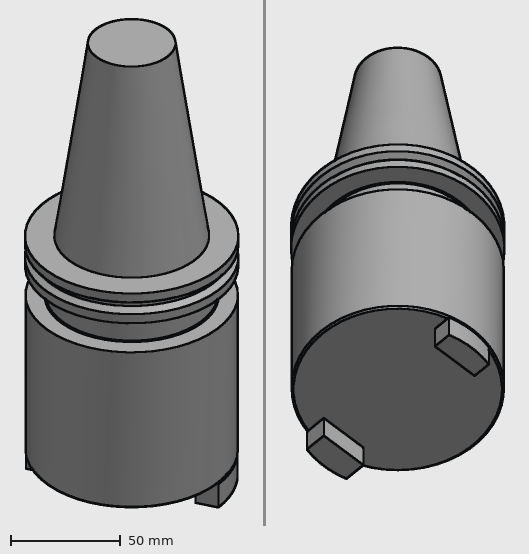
import cadquery as cq

total_height = 234.2
body_bottom = 12.6
body_top = 97.5
flange_bottom = 113.4
flange_top = 129.5

body_radius = 97.0 / 2
neck_radius = 78.7 / 2
flange_radius = 97.5 / 2
groove_radius = 91.0 / 2
taper_base_radius = 70.7 / 2
taper_tip_radius = 40.0 / 2

body_chamfer = 1.0
neck_flare = 0.5
upper_rim = 5.0
lower_rim = 5.0
groove_bottom = 120.0
groove_relief = 0.7
groove_top = 122.7

key_width = 25.0
left_key_inner = 37.5
right_key_inner = 35.5


def turned_shank():
    """Revolve the body, neck, grooved flange and taper about Z."""
    profile = [
        (0, body_bottom),
        (body_radius - body_chamfer, body_bottom),
        (body_radius, body_bottom + body_chamfer),
        (body_radius, body_top),
        (neck_radius + neck_flare, body_top),
        (neck_radius, body_top + neck_flare),
        (neck_radius, flange_bottom - neck_flare),
        (neck_radius + neck_flare, flange_bottom),
        (flange_radius, flange_bottom),
        (flange_radius, flange_bottom + lower_rim),
        (groove_radius + groove_relief, groove_bottom),
        (groove_radius, groove_bottom + groove_relief),
        (groove_radius, groove_top),
        (flange_radius, flange_top - upper_rim),
        (flange_radius, flange_top),
        (taper_base_radius, flange_top),
        (taper_tip_radius, total_height),
        (0, total_height),
    ]
    return cq.Workplane("YZ").polyline(profile).close().revolve(360, (0, 0), (0, 1))


def drive_key(side, inner_distance):
    """Key under the body on the given X side, rounded to the body radius."""
    length = body_radius - inner_distance
    center = side * (inner_distance + length / 2)
    block = cq.Workplane("XY").center(center, 0).rect(length, key_width).extrude(body_bottom)
    return block.intersect(cq.Workplane("XY").circle(body_radius).extrude(body_bottom))


left_key = drive_key(-1, left_key_inner)
right_key = drive_key(1, right_key_inner)
result = turned_shank().union(left_key).union(right_key)